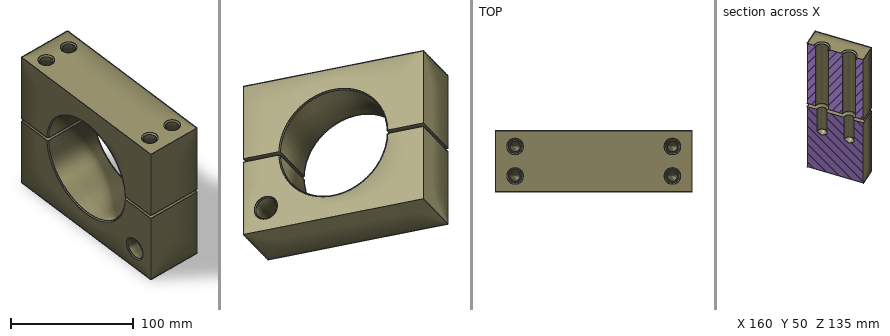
import cadquery as cq
import math

length = 160.0
width = 50.0
height = 135.0
gap = 3.0
half_height = (height - gap) / 2

bore_diameter = 95.0
bore_chamfer = 1.0

cross_hole_diameter = 18.5
cross_hole_chamfer = 1.0
cross_hole_x = 60.0
cross_hole_z = -47.2

screw_x = 64.0
screw_y = 12.0
clearance_diameter = 11.0
clearance_chamfer = 1.2
core_diameter = 8.5
core_depth = 24.0
drill_point_angle = 118.0

screw_places = [(x, y) for x in (-screw_x, screw_x) for y in (-screw_y, screw_y)]


def clamp_block(direction):
    """Plain block above (direction 1) or below (direction -1) the gap."""
    centre_z = direction * (gap + half_height) / 2
    return cq.Workplane("XY").box(length, width, half_height).translate((0, 0, centre_z))


def chamfered_cutter(x, z, diameter, chamfer):
    """Cutter for a hole through the width, widening by a chamfer at each end."""
    radius = diameter / 2
    half_width = width / 2
    return (
        cq.Workplane("XY")
        .moveTo(0, -half_width)
        .lineTo(radius + chamfer, -half_width)
        .lineTo(radius, -half_width + chamfer)
        .lineTo(radius, half_width - chamfer)
        .lineTo(radius + chamfer, half_width)
        .lineTo(0, half_width)
        .close()
        .revolve(360, (0, 0, 0), (0, 1, 0))
        .translate((x, 0, z))
    )


def clearance_cutter(x, y):
    """Cutter for a screw hole through the upper half, chamfered at the top."""
    radius = clearance_diameter / 2
    top = height / 2
    return (
        cq.Workplane("XZ")
        .moveTo(0, 0)
        .lineTo(radius, 0)
        .lineTo(radius, top - clearance_chamfer)
        .lineTo(radius + clearance_chamfer, top)
        .lineTo(0, top)
        .close()
        .revolve(360, (0, 0, 0), (0, 1, 0))
        .translate((x, y, 0))
    )


def core_cutter(x, y):
    """Cutter for a blind hole in the lower half, ending in a drill point."""
    radius = core_diameter / 2
    top = -gap / 2
    floor = top - core_depth
    point_depth = radius / math.tan(math.radians(drill_point_angle / 2))
    return (
        cq.Workplane("XZ")
        .moveTo(0, top)
        .lineTo(radius, top)
        .lineTo(radius, floor)
        .lineTo(0, floor - point_depth)
        .close()
        .revolve(360, (0, 0, 0), (0, 1, 0))
        .translate((x, y, 0))
    )


def make_upper_half():
    half = clamp_block(1).cut(chamfered_cutter(0, 0, bore_diameter, bore_chamfer))
    for x, y in screw_places:
        half = half.cut(clearance_cutter(x, y))
    return half


def make_lower_half():
    half = clamp_block(-1).cut(chamfered_cutter(0, 0, bore_diameter, bore_chamfer))
    half = half.cut(
        chamfered_cutter(cross_hole_x, cross_hole_z, cross_hole_diameter, cross_hole_chamfer)
    )
    for x, y in screw_places:
        half = half.cut(core_cutter(x, y))
    return half


upper_half = make_upper_half()
lower_half = make_lower_half()

result = cq.Compound.makeCompound([upper_half.val(), lower_half.val()])